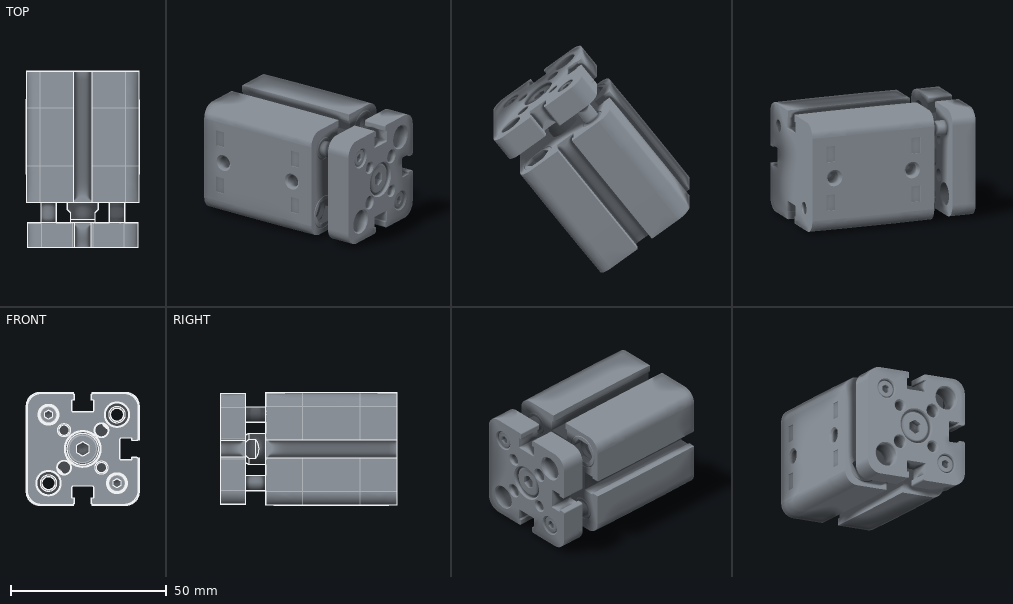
import cadquery as cq
import math


total_length = 56.6
width = 36.3
body_length = 42.15
cap_length = 11.85
cap_taper = 0.5
body_corner_radius = 4.45
plate_width = 35.55
plate_thickness = 8.05
plate_corner_radius = 4.45
guide_offset = 11.0

slot_floor = 11.95
slot_shoulder = 15.7
slot_width = 6.9
slot_floor_radius = 0.35
body_slot_mouth = 5.8
plate_slot_mouth = 5.3
mouth_radius = 0.55
shoulder_radius = 0.2

rod_diameter = 10.0
rod_flats = 8.0
rod_flat_start = 3.15
rod_tip_length = 1.1
rod_tip_inset = 0.5
guide_rod_diameter = 5.0

center_bore, center_head, center_sink, center_key = 11.1, 10.0, 0.85, 4.0
side_bore, side_head, side_sink, side_key = 6.0, 5.5, 0.5, 2.5
center_bore_chamfer, side_bore_chamfer = 0.35, 0.35
center_head_radius, side_head_radius = 0.6, 0.2
bore_depth = 1.7
key_depth_ratio = 0.6
key_cone_angle = 30

mount_hole, mount_chamfer = 7.5, 0.3
pattern_offset = 6.0
thread_hole, thread_chamfer = 3.3, 0.45
pin_hole, pin_chamfer = 4.25, 0.2

body_through_hole = 4.15
body_hole_countersink = 5.25
insert_hex = 7.7
insert_hex_depth = 2.6
insert_bore = 7.5
insert_depth = 4.1
insert_diameter = 11.1
bushing_diameter = 7.5
groove_size = 0.35

port_offset = 13.45
port_diameter, port_chamfer, port_depth = 4.15, 0.7, 4.5
port_feed_diameter, port_feed_depth = 1.75, 6.8
label_length, label_height = 3.05, 5.25
label_z = 8.05
label_offset = 14.7
label_floor = 17.85

body_back = total_length / 2
body_front = body_back - body_length
body_middle = (body_back + body_front) / 2
plate_front = -total_length / 2
plate_back = plate_front + plate_thickness
half_width = width / 2
hex_corner_ratio = 2 / math.sqrt(3)


def section(y):
    """Sketch plane at the given Y whose local axes are X and Z and whose normal points to -Y."""
    return cq.Workplane("XZ", origin=(0, y, 0))


def rounded_square(y, side, radius, length, taper=0.0):
    """Rounded square prism growing from y towards -Y; a negative length grows towards +Y."""
    sketch = cq.Sketch().rect(side, side).vertices().fillet(radius)
    return section(y).placeSketch(sketch).extrude(length, taper=taper)


def cylinder(x, z, y_near, y_far, diameter):
    """Cylinder along Y between y_near and y_far, with y_near on the -Y side."""
    return section(y_far).center(x, z).circle(diameter / 2).extrude(y_far - y_near)


def chamfered_bore(x, z, y_near, y_far, diameter, chamfer):
    """Cutter for a bore from y_near to y_far that widens by a 45 degree chamfer at y_near."""
    mouth = section(y_near + chamfer).center(x, z).circle(diameter / 2)
    mouth = mouth.workplane(offset=chamfer).circle(diameter / 2 + chamfer).loft()
    return cylinder(x, z, y_near, y_far, diameter).union(mouth)


def seat_groove(x, z, outer_diameter):
    """Cutter for a ring groove in the body face: straight outer wall, 45 degree inner wall."""
    radius = outer_diameter / 2
    profile = cq.Workplane("XY").polyline([
        (radius, body_front),
        (radius, body_front + groove_size),
        (radius - groove_size, body_front),
    ]).close()
    return profile.revolve(360, (0, 0, 0), (0, 1, 0)).translate((x, 0, z))


def t_slot(y_near, y_far, mouth):
    """Cutter for the sharp-lipped slot in the +Z side."""
    length = y_far - y_near
    height = slot_shoulder - slot_floor
    channel = section(y_far).center(0, slot_floor + height / 2).rect(slot_width, height).extrude(length)
    channel = channel.edges("|Y and <Z").fillet(slot_floor_radius)
    neck_bottom = slot_floor + slot_floor_radius
    neck_height = half_width - neck_bottom
    neck = section(y_far).center(0, neck_bottom + neck_height / 2).rect(mouth, neck_height).extrude(length)
    return channel.union(neck)


def round_lips(slot, y_near, y_far, mouth):
    """Widen a slot cutter so that the lip edges become round, inside and at the plate surface."""
    half = mouth / 2
    surface = plate_width / 2
    for side in (1, -1):
        outer = section(y_far).moveTo(side * half, surface)
        outer = outer.lineTo(side * (half + mouth_radius), surface)
        outer = outer.radiusArc((side * half, surface - mouth_radius), -side * mouth_radius)
        inner = section(y_far).moveTo(side * half, slot_shoulder)
        inner = inner.lineTo(side * (half + shoulder_radius), slot_shoulder)
        inner = inner.radiusArc((side * half, slot_shoulder + shoulder_radius), side * shoulder_radius)
        for edge in (outer, inner):
            slot = slot.union(edge.close().extrude(y_far - y_near))
    return slot


def cut_slots(solid, slot):
    """Cut the slot into the +Z, +X and -Z sides."""
    for angle in (0, 90, 180):
        solid = solid.cut(slot.rotate((0, 0, 0), (0, 1, 0), angle))
    return solid


def hex_socket(x, z, y_face, across_flats):
    """Cutter for a hex socket with a conical bottom, two corners pointing along Z."""
    corner_diameter = across_flats * hex_corner_ratio
    depth = across_flats * key_depth_ratio
    cone_depth = corner_diameter / 2 * math.tan(math.radians(key_cone_angle))
    envelope = cq.Workplane("XY").polyline([
        (0, y_face),
        (corner_diameter / 2, y_face),
        (corner_diameter / 2, y_face + depth),
        (0, y_face + depth + cone_depth),
    ]).close().revolve(360, (0, 0, 0), (0, 1, 0)).translate((x, 0, z))
    length = depth + cone_depth
    prism = section(y_face + length).center(x, z).transformed(rotate=(0, 0, 90))
    prism = prism.polygon(6, corner_diameter).extrude(length)
    return prism.intersect(envelope)


def add_screw(plate, x, z, bore, bore_chamfer, head, head_radius, sink, key):
    """Counterbore the plate and fill it with a socket head sunk below the plate face."""
    head_face = plate_front + sink
    bore_floor = plate_front + bore_depth
    screw = cylinder(x, z, head_face, bore_floor, head).faces("<Y").edges().fillet(head_radius)
    plate = plate.cut(chamfered_bore(x, z, plate_front, bore_floor, bore, bore_chamfer))
    return plate.union(screw).cut(hex_socket(x, z, head_face, key))


def make_body():
    barrel_length = body_length - 2 * cap_length
    barrel_back = body_back - cap_length
    barrel_front = body_front + cap_length
    body = rounded_square(barrel_back, width, body_corner_radius, barrel_length)
    body = body.union(rounded_square(barrel_front, width, body_corner_radius, cap_length, cap_taper))
    body = body.union(rounded_square(barrel_back, width, body_corner_radius, -cap_length, cap_taper))
    body = cut_slots(body, t_slot(body_front, body_back, body_slot_mouth))
    for side in (1, -1):
        corner = side * guide_offset
        body = body.cut(mounting_recess(corner, corner))
        body = body.cut(seat_groove(corner, corner, insert_diameter))
        body = body.cut(seat_groove(corner, -corner, bushing_diameter))
        body = body.cut(air_port(body_middle + side * port_offset))
        for z in (label_z, -label_z):
            body = body.cut(label_panel(body_middle + side * label_offset, z))
    return body


def mounting_recess(x, z):
    """Through hole whose front end opens into a round bore and then a hex recess."""
    hex_floor = body_front + insert_hex_depth
    bore_floor = body_front + insert_depth
    countersink = (body_hole_countersink - body_through_hole) / 2
    recess = section(hex_floor).center(x, z).polygon(6, insert_hex * hex_corner_ratio)
    recess = recess.extrude(insert_hex_depth)
    recess = recess.union(cylinder(x, z, hex_floor, bore_floor, insert_bore))
    return recess.union(chamfered_bore(x, z, bore_floor, body_back, body_through_hole, countersink))


def air_port(y):
    """Chamfered port with a narrow feed hole, entering from the -X side."""
    port_radius = port_diameter / 2
    feed_radius = port_feed_diameter / 2
    profile = cq.Workplane("XY").polyline([
        (-half_width, 0),
        (-half_width, port_radius + port_chamfer),
        (-half_width + port_chamfer, port_radius),
        (-half_width + port_depth, port_radius),
        (-half_width + port_depth, feed_radius),
        (-half_width + port_feed_depth, feed_radius),
        (-half_width + port_feed_depth, 0),
    ]).close()
    return profile.revolve(360, (0, 0, 0), (1, 0, 0)).translate((0, y, 0))


def label_panel(y, z):
    """Cutter for a shallow rectangular panel in the -X side."""
    panel = cq.Workplane("YZ", origin=(-label_floor, y, z)).rect(label_length, label_height)
    return panel.extrude(label_floor - half_width)


def make_piston_rod():
    rod = cylinder(0, 0, plate_back, body_front, rod_diameter)
    rod = rod.faces("<Y").chamfer(rod_tip_length, rod_tip_inset)
    flat_half = rod_flats / 2
    ramp = rod_diameter / 2 - flat_half
    flat_y = body_front - rod_flat_start
    for side in (1, -1):
        cutter = cq.Workplane("XY").workplane(offset=-rod_diameter / 2).polyline([
            (side * flat_half, plate_back),
            (side * flat_half, flat_y),
            (side * (flat_half + ramp), flat_y + ramp),
            (side * (flat_half + ramp), plate_back),
        ]).close().extrude(rod_diameter)
        rod = rod.cut(cutter)
    return rod


def make_plate():
    plate = rounded_square(plate_back, plate_width, plate_corner_radius, plate_thickness)
    through = (plate_front, plate_back)
    slot = round_lips(t_slot(*through, plate_slot_mouth), *through, plate_slot_mouth)
    plate = cut_slots(plate, slot)
    for side in (1, -1):
        corner = side * guide_offset
        inner = side * pattern_offset
        plate = plate.cut(chamfered_bore(corner, corner, *through, mount_hole, mount_chamfer))
        plate = plate.cut(chamfered_bore(inner, inner, *through, pin_hole, pin_chamfer))
        plate = plate.cut(chamfered_bore(inner, -inner, *through, thread_hole, thread_chamfer))
        plate = add_screw(plate, corner, -corner, side_bore, side_bore_chamfer,
                          side_head, side_head_radius, side_sink, side_key)
    return add_screw(plate, 0, 0, center_bore, center_bore_chamfer,
                     center_head, center_head_radius, center_sink, center_key)


result = make_body().union(make_piston_rod()).union(make_plate())
for side in (1, -1):
    corner = side * guide_offset
    guide_rod = cylinder(corner, -corner, plate_back, body_front, guide_rod_diameter)
    result = result.union(guide_rod)